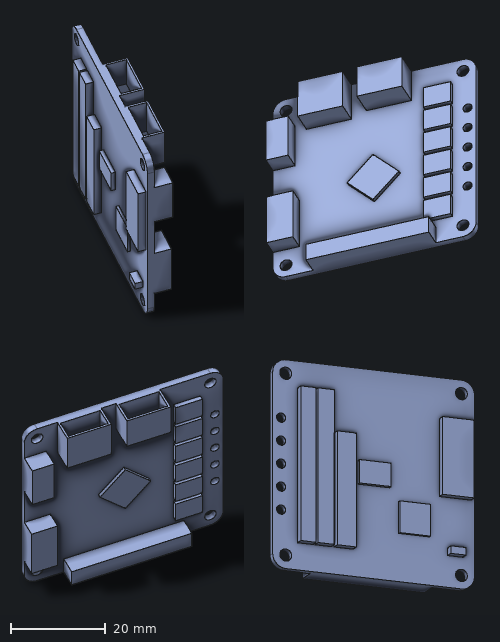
import cadquery as cq


board_side = 46.0
half_side = board_side / 2
board_thickness = 1.6
corner_radius = 3.0

mount_hole_diameter = 2.6
mount_hole_spacing = 40.0
pad_hole_diameter = 2.0
pad_hole_count = 5
pad_hole_pitch = 5.05
pad_hole_x = -21.05

front_height = 1.8
strip_half_length = 17.0
long_strip_z = (-strip_half_length, strip_half_length)
short_strip_z = (-strip_half_length, 8.05)
outer_strip_x = (-17.35, -13.85)
middle_strip_x = (-13.4, -9.65)
inner_strip_x = (-9.0, -4.7)

center_chip_x = (-3.6, 3.6)
center_chip_z = (-2.58, 2.58)
center_chip_height = 0.95

square_chip_side = 7.0
square_chip_x = (5.7, 5.7 + square_chip_side)
square_chip_z = (-12.37, -12.37 + square_chip_side)
square_chip_height = 0.65

module_x = (15.0, 22.15)
module_z = (-3.2, 13.9)

button_x = (16.85, 20.35)
button_z = (-16.0, -14.35)

socket_width = 10.15
socket_wall = 0.5
left_socket_x = -8.35
left_socket_length = 7.7
left_socket_height = 5.6
right_socket_x = 5.2
right_socket_length = 9.0
right_socket_height = left_socket_height - 0.45

header_height = 4.15
header_half_length = 13.9
bottom_header_x = (-header_half_length, header_half_length)
bottom_header_z = (-half_side, -half_side + 4.0)
side_header_x = (half_side - 5.05, half_side)
side_header_z = (5.2, 5.2 + socket_width)
power_socket_x = (half_side - 6.03, half_side)
power_socket_z = (-16.0, -4.1)
power_socket_height = 3.8

terminal_count = 6
terminal_pitch = 5.85
terminal_length = 5.0
terminal_x = (-17.65, -11.5)
terminal_height = 1.05
turned_chip_side = 8.3
turned_chip_height = 0.85
turned_chip_z = -2.9
turned_chip_angle = 45.0


def block(x_limits, y_limits, z_limits):
    """Box between the lower and upper limit on each axis."""
    x_min, x_max = x_limits
    y_min, y_max = y_limits
    z_min, z_max = z_limits
    box = cq.Workplane("XY").box(x_max - x_min, y_max - y_min, z_max - z_min, centered=False)
    return box.translate((x_min, y_min, z_min))


def front_block(x_limits, z_limits, height):
    """Component standing on the front face."""
    return block(x_limits, (-board_thickness - height, -board_thickness), z_limits)


def back_block(x_limits, z_limits, height):
    """Component standing on the back face."""
    return block(x_limits, (0, height), z_limits)


def make_board():
    """Rounded plate with four mounting holes and a column of pad holes."""
    plate = (
        cq.Workplane("XZ")
        .rect(board_side, board_side)
        .extrude(board_thickness)
        .edges("|Y")
        .fillet(corner_radius)
    )
    mount_holes = (
        cq.Workplane("XZ")
        .rarray(mount_hole_spacing, mount_hole_spacing, 2, 2)
        .circle(mount_hole_diameter / 2)
        .extrude(board_thickness)
    )
    pad_holes = (
        cq.Workplane("XZ")
        .center(pad_hole_x, 0)
        .rarray(0.45, pad_hole_pitch, 1, pad_hole_count)
        .circle(pad_hole_diameter / 2)
        .extrude(board_thickness)
    )
    return plate.cut(mount_holes).cut(pad_holes)


def make_front_components():
    return [
        front_block(outer_strip_x, long_strip_z, front_height),
        front_block(middle_strip_x, long_strip_z, front_height),
        front_block(inner_strip_x, short_strip_z, front_height),
        front_block(center_chip_x, center_chip_z, center_chip_height),
        front_block(square_chip_x, square_chip_z, square_chip_height),
        front_block(module_x, module_z, front_height),
        front_block(button_x, button_z, front_height),
    ]


def make_socket(x_min, length, height):
    """Box on the top edge, hollow and open upward, with one wall thickness all round."""
    x_max = x_min + socket_width
    z_min = half_side - length
    shell = back_block((x_min, x_max), (z_min, half_side), height)
    cavity = block(
        (x_min + socket_wall, x_max - socket_wall),
        (socket_wall, height - socket_wall),
        (z_min + socket_wall, half_side),
    )
    return shell.cut(cavity)


def make_terminals():
    """Equal flat blocks in a column centered on Z = 0."""
    terminals = []
    for index in range(terminal_count):
        z_min = (index - (terminal_count - 1) / 2) * terminal_pitch - terminal_length / 2
        terminals.append(back_block(terminal_x, (z_min, z_min + terminal_length), terminal_height))
    return terminals


def make_turned_chip():
    """Square chip on the back face, turned about Y."""
    return (
        cq.Workplane("XZ")
        .center(0, turned_chip_z)
        .transformed(rotate=(0, 0, turned_chip_angle))
        .rect(turned_chip_side, turned_chip_side)
        .extrude(-turned_chip_height)
    )


def make_back_components():
    return [
        make_socket(left_socket_x, left_socket_length, left_socket_height),
        make_socket(right_socket_x, right_socket_length, right_socket_height),
        back_block(bottom_header_x, bottom_header_z, header_height),
        back_block(side_header_x, side_header_z, header_height),
        back_block(power_socket_x, power_socket_z, power_socket_height),
        make_turned_chip(),
        *make_terminals(),
    ]


result = make_board()
for component in make_front_components() + make_back_components():
    result = result.union(component)